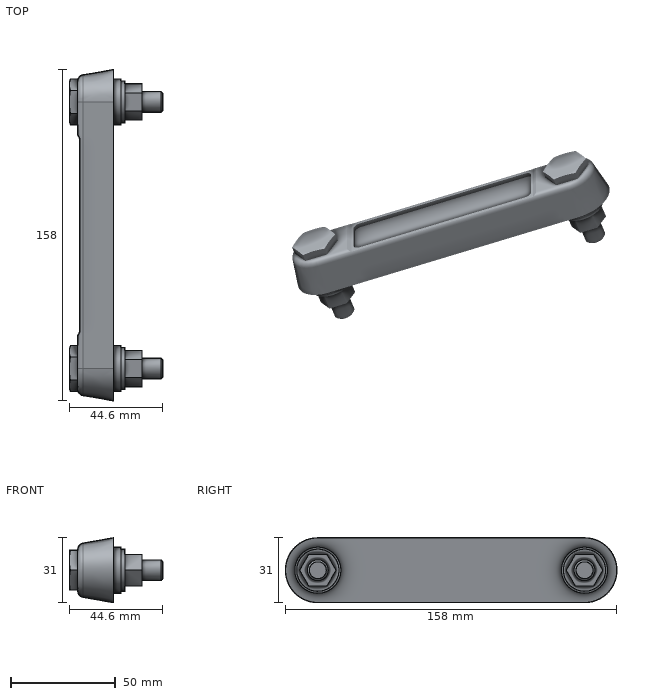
import cadquery as cq
import math

length = 158.0
width = 31.0
depth = 17.0
taper_angle = 10.0
front_edge_radius = 3.2
bolt_offset = (length - width) / 2

recess_depth = 1.0
recess_floor_length = 92.0
recess_wall_run = 1.9
window_length = 90.0
window_width = 20.5
window_depth = 2.0
window_corner_radius = 3.0

head_corner_diameter = 22.0
head_height = 4.0
head_bevel_height = 0.5

flange_diameter = 22.0
flange_thickness = 3.5
washer_diameter = 20.0
washer_thickness = 1.9
nut_corner_diameter = 17.4
nut_thickness = 8.2
stud_diameter = 10.0
stud_length = 10.0
stud_chamfer = 1.0


def cross_plane(x):
    """Plane facing +X whose local axes are Y and Z."""
    return cq.Workplane("YZ", origin=(x, 0, 0))


def make_housing():
    front_width = width - 2 * depth * math.tan(math.radians(taper_angle))
    front_length = 2 * bolt_offset + front_width
    housing = (
        cross_plane(-depth)
        .slot2D(front_length, front_width)
        .extrude(depth, taper=-taper_angle)
    )
    return housing.faces("<X").edges().fillet(front_edge_radius)


def make_recess():
    half_floor = recess_floor_length / 2
    half_opening = half_floor + recess_wall_run
    floor_x = -depth + recess_depth
    return (
        cq.Workplane("XY")
        .moveTo(-depth, -half_opening)
        .lineTo(floor_x, -half_floor)
        .lineTo(floor_x, half_floor)
        .lineTo(-depth, half_opening)
        .close()
        .extrude(width / 2, both=True)
    )


def make_window():
    return (
        cross_plane(-depth + recess_depth)
        .rect(window_length, window_width)
        .extrude(window_depth)
        .edges("|X")
        .fillet(window_corner_radius)
    )


def make_head(y):
    """Hexagon head with its corners bevelled down to the inscribed circle."""
    flat_radius = head_corner_diameter / 2 * math.cos(math.pi / 6)
    corner_radius = head_corner_diameter / 2
    tip_x = -depth - head_height
    hexagon = cross_plane(tip_x).center(y, 0).polygon(6, head_corner_diameter).extrude(head_height)
    bevel_envelope = (
        cq.Workplane("XY")
        .moveTo(tip_x, y)
        .lineTo(tip_x, y + flat_radius)
        .lineTo(tip_x + head_bevel_height, y + corner_radius)
        .lineTo(-depth, y + corner_radius)
        .lineTo(-depth, y)
        .close()
        .revolve(360, (0, y, 0), (1, y, 0))
    )
    return hexagon.intersect(bevel_envelope)


def make_rear_stack(y):
    washer_start = flange_thickness
    nut_start = washer_start + washer_thickness
    stud_start = nut_start + nut_thickness
    flange = cross_plane(0).center(y, 0).circle(flange_diameter / 2).extrude(flange_thickness)
    washer = cross_plane(washer_start).center(y, 0).circle(washer_diameter / 2).extrude(washer_thickness)
    nut = cross_plane(nut_start).center(y, 0).polygon(6, nut_corner_diameter).extrude(nut_thickness)
    stud = (
        cross_plane(stud_start)
        .center(y, 0)
        .circle(stud_diameter / 2)
        .extrude(stud_length)
        .faces(">X")
        .chamfer(stud_chamfer)
    )
    return flange.union(washer).union(nut).union(stud)


result = make_housing().cut(make_recess()).cut(make_window())
for bolt_y in (-bolt_offset, bolt_offset):
    result = result.union(make_head(bolt_y)).union(make_rear_stack(bolt_y))